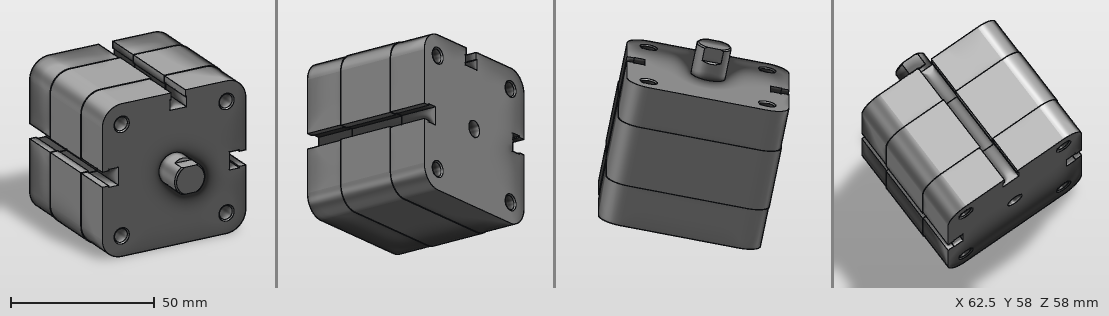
import cadquery as cq


overall_length = 62.5
cap_length = 14.7
barrel_length = 21.6
rod_start = 2 * cap_length + barrel_length
rod_length = overall_length - rod_start

barrel_width = 58.0
cap_inset = 0.25
hole_spacing = 42.0
barrel_corner_radius = (barrel_width - hole_spacing) / 2

slot_mouth_width = 5.2
slot_inner_width = 6.25
slot_lip_depth = 3.1
slot_depth = 6.5
slot_offset = 1.7
slot_angles = (-90, 0, 90)

tie_hole_diameter = 5.1
tie_hole_chamfer = 0.5
port_diameter = 6.1

rod_diameter = 12.1
rod_chamfer = 0.5
flat_gap = 10.1
flat_length = 5.0
flat_runout = 0.55


def slot_cutter(inset, start, length):
    """T-shaped slot along the top face, grown sideways and down by the inset."""
    half_mouth = slot_mouth_width / 2 + inset
    half_inner = slot_inner_width / 2 + inset
    top = barrel_width / 2
    lip = top - slot_lip_depth + inset
    floor = top - slot_depth - inset
    return (
        cq.Workplane("YZ", origin=(start, slot_offset, 0))
        .moveTo(-half_mouth, top)
        .lineTo(-half_mouth, lip)
        .lineTo(-half_inner, lip)
        .lineTo(-half_inner, floor)
        .lineTo(half_inner, floor)
        .lineTo(half_inner, lip)
        .lineTo(half_mouth, lip)
        .lineTo(half_mouth, top)
        .close()
        .extrude(length)
    )


def body_section(start, length, inset=0.0):
    """Length of the rounded square body with its slots and four tie holes."""
    width = barrel_width - 2 * inset
    section = (
        cq.Workplane("YZ", origin=(start, 0, 0))
        .rect(width, width)
        .extrude(length)
        .edges("|X")
        .fillet(barrel_corner_radius - inset)
    )
    for angle in slot_angles:
        slot = slot_cutter(inset, start, length)
        section = section.cut(slot.rotate((0, 0, 0), (1, 0, 0), angle))
    tie_holes = (
        cq.Workplane("YZ", origin=(start, 0, 0))
        .rect(hole_spacing, hole_spacing, forConstruction=True)
        .vertices()
        .circle(tie_hole_diameter / 2)
        .extrude(length)
    )
    return section.cut(tie_holes)


def countersink(cap, face_position, inward):
    """Chamfer the tie-hole mouths on a cap's outer face; inward is the X sign into the cap."""
    half_spacing = hole_spacing / 2
    for y in (-half_spacing, half_spacing):
        for z in (-half_spacing, half_spacing):
            cone = cq.Solid.makeCone(
                tie_hole_diameter / 2 + tie_hole_chamfer,
                tie_hole_diameter / 2,
                tie_hole_chamfer,
                cq.Vector(face_position, y, z),
                cq.Vector(inward, 0, 0),
            )
            cap = cap.cut(cq.Workplane(cone))
    return cap


def make_rear_cap():
    cap = body_section(0, cap_length, cap_inset)
    port = cq.Workplane("YZ").circle(port_diameter / 2).extrude(cap_length)
    return countersink(cap, 0, 1).cut(port)


def make_barrel():
    return body_section(cap_length, barrel_length)


def make_front_cap():
    cap = body_section(cap_length + barrel_length, cap_length, cap_inset)
    return countersink(cap, rod_start, -1)


def make_rod():
    """Rod standing on the front cap, with two wrench flats at its chamfered tip."""
    rod = (
        cq.Workplane("YZ", origin=(rod_start, 0, 0))
        .circle(rod_diameter / 2)
        .extrude(rod_length)
        .faces(">X")
        .chamfer(rod_chamfer)
    )
    rod_radius = rod_diameter / 2
    flat_start = overall_length - flat_length
    flat_cutter = (
        cq.Workplane("XZ")
        .moveTo(flat_start - flat_runout, rod_radius)
        .lineTo(flat_start, flat_gap / 2)
        .lineTo(overall_length, flat_gap / 2)
        .lineTo(overall_length, rod_radius)
        .close()
        .extrude(rod_radius, both=True)
    )
    return rod.cut(flat_cutter).cut(flat_cutter.mirror("XY"))


rear_cap = make_rear_cap()
barrel = make_barrel()
front_cap = make_front_cap()
rod = make_rod()

result = cq.Compound.makeCompound([rear_cap.val(), barrel.val(), front_cap.val(), rod.val()])